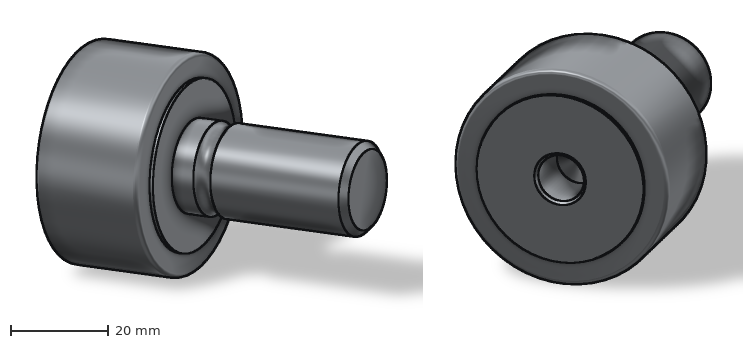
import cadquery as cq
import math


overall_length = 66.0
ring_width = 24.0
flange_thickness = 0.8
ring_start = flange_thickness
ring_end = ring_start + ring_width

ring_diameter = 47.0
ring_edge_radius = 1.0

flange_diameter = 36.5
stem_diameter = 20.0
stem_radius = stem_diameter / 2
tip_chamfer = 1.53

groove_position = 32.6
groove_arc_radius = 2.1
groove_depth = 1.4
groove_half_width = math.sqrt(groove_arc_radius**2 - (groove_arc_radius - groove_depth) ** 2)

hole_diameter = 10.0
hole_depth = 12.0
hole_chamfer = 0.65
drill_point_angle = 120.0


def disc(diameter, start, length):
    """Solid cylinder on the X axis, beginning at x = start."""
    return cq.Workplane("YZ").workplane(offset=start).circle(diameter / 2).extrude(length)


def revolve_about_x(profile):
    """Full revolution of a closed XY half profile around the X axis."""
    return profile.close().revolve(360, (0, 0, 0), (1, 0, 0))


def make_hole_cutter():
    """Drilled hole with a chamfered mouth and a conical bottom."""
    hole_radius = hole_diameter / 2
    point_length = hole_radius / math.tan(math.radians(drill_point_angle / 2))
    profile = (
        cq.Workplane("XY")
        .lineTo(0, hole_radius + hole_chamfer)
        .lineTo(hole_chamfer, hole_radius)
        .lineTo(hole_depth, hole_radius)
        .lineTo(hole_depth + point_length, 0)
    )
    return revolve_about_x(profile)


def make_stud():
    """Thin head and grooved stem with a chamfered tip, drilled from the head side."""
    profile = (
        cq.Workplane("XY")
        .lineTo(0, flange_diameter / 2)
        .lineTo(ring_start, flange_diameter / 2)
        .lineTo(ring_start, stem_radius)
        .lineTo(groove_position - groove_half_width, stem_radius)
        .threePointArc(
            (groove_position, stem_radius - groove_depth),
            (groove_position + groove_half_width, stem_radius),
        )
        .lineTo(overall_length - tip_chamfer, stem_radius)
        .lineTo(overall_length, stem_radius - tip_chamfer)
        .lineTo(overall_length, 0)
    )
    return revolve_about_x(profile).cut(make_hole_cutter())


def make_roller_ring():
    """Ring on the stem, with both outer rims rounded."""
    ring = disc(ring_diameter, ring_start, ring_width).edges().fillet(ring_edge_radius)
    return ring.cut(disc(stem_diameter, ring_start, ring_width))


def make_end_washer():
    """Flat washer on the stem, against the ring face opposite the head."""
    washer = disc(flange_diameter, ring_end, flange_thickness)
    return washer.cut(disc(stem_diameter, ring_end, flange_thickness))


stud = make_stud()
roller_ring = make_roller_ring()
end_washer = make_end_washer()

result = cq.Compound.makeCompound([stud.val(), roller_ring.val(), end_washer.val()])